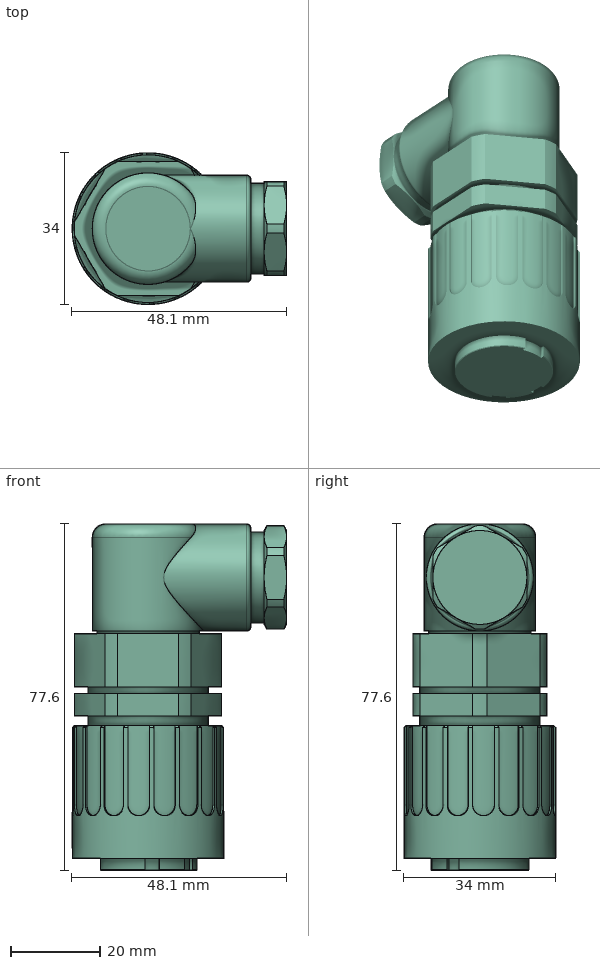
import cadquery as cq
import math

TIP_Z = 0.0
RING_BOTTOM_Z = 2.7
RING_TOP_Z = 32.4
LOCKNUT_BOTTOM_Z = 34.6
LOCKNUT_TOP_Z = 39.65
BODY_HEX_BOTTOM_Z = 41.1
BODY_HEX_TOP_Z = 53.0
ELBOW_TOP_Z = 77.6

INSERT_DIAMETER = 22.0
INSERT_TIP_CHAMFER = 0.15
KEYWAY_FLOOR_DIAMETER = 20.4
COLLAR_DIAMETER = 27.0
HEX_ACROSS_FLATS = 30.0
HEX_CORNER_DIAMETER = 33.0
NECK_DIAMETER = 23.0
ELBOW_DIAMETER = 25.0
ELBOW_TOP_FILLET = 3.0

KEYWAYS = [(180.0, 5.3), (275.0, 3.2), (326.3, 3.2)]

ARM_DIAMETER = 24.0
ARM_END_X = 23.05
ARM_END_FILLET = 1.0
GLAND_NECK_DIAMETER = 20.4
GLAND_NUT_START_X = 26.0
GLAND_NUT_END_X = 31.05
GLAND_ACROSS_FLATS = 21.0
GLAND_CORNER_DIAMETER = 23.2
GLAND_FACE_DIAMETER = GLAND_ACROSS_FLATS
GLAND_CHAMFER_LENGTH = 0.6
ARM_AXIS_Z = ELBOW_TOP_Z - ARM_DIAMETER / 2
ELBOW_BOTTOM_Z = ELBOW_TOP_Z - ARM_DIAMETER

RING_DIAMETER = 34.0
RING_RECESS_DIAMETER = 30.2
RING_RECESS_DEPTH = 3.0
RING_TOP_CHAMFER = 0.5
FLUTE_COUNT = 18
FLUTE_WIDTH = 4.9
FLUTE_DEPTH = 0.5
FLUTE_BOTTOM_Z = 12.25
FLUTE_START_ANGLE = 2.8


def cylinder(diameter, bottom_z, top_z):
    """Solid cylinder on the Z axis between two heights."""
    return cq.Workplane("XY").workplane(offset=bottom_z).circle(diameter / 2).extrude(top_z - bottom_z)


def rounded_hexagon(across_flats, corner_diameter, length):
    """Hexagonal prism rising from Z = 0, corners on the X axis, trimmed by a coaxial cylinder."""
    hexagon = cq.Workplane("XY").polygon(6, across_flats / math.cos(math.pi / 6)).extrude(length)
    return hexagon.intersect(cylinder(corner_diameter, 0, length))


def along_arm(shape, start_x):
    """Turn a shape built upward from Z = 0 so that it runs along +X on the arm axis."""
    return shape.rotate((0, 0, 0), (0, 1, 0), 90).translate((start_x, 0, ARM_AXIS_Z))


def make_gland_nut():
    """Rounded hexagon with conical chamfers on both faces."""
    length = GLAND_NUT_END_X - GLAND_NUT_START_X
    corner_radius = GLAND_CORNER_DIAMETER / 2
    face_radius = GLAND_FACE_DIAMETER / 2
    chamfered_envelope = (
        cq.Workplane("XZ")
        .moveTo(0, 0)
        .lineTo(face_radius, 0)
        .lineTo(corner_radius, GLAND_CHAMFER_LENGTH)
        .lineTo(corner_radius, length - GLAND_CHAMFER_LENGTH)
        .lineTo(face_radius, length)
        .lineTo(0, length)
        .close()
        .revolve(360, (0, 0, 0), (0, 1, 0))
    )
    nut = rounded_hexagon(GLAND_ACROSS_FLATS, GLAND_CORNER_DIAMETER, length)
    return along_arm(nut.intersect(chamfered_envelope), GLAND_NUT_START_X)


def make_arm():
    """Horizontal cylinder with a rounded end rim, a narrower gland neck and the gland nut."""
    tube = cylinder(ARM_DIAMETER, 0, ARM_END_X).faces(">Z").edges().fillet(ARM_END_FILLET)
    gland_neck = cylinder(GLAND_NECK_DIAMETER, 0, GLAND_NUT_START_X)
    return along_arm(tube.union(gland_neck), 0).union(make_gland_nut())


def make_insert():
    """Cylindrical plug at the bottom with keyways down its side."""
    insert = cylinder(INSERT_DIAMETER, TIP_Z, RING_BOTTOM_Z).faces("<Z").edges().chamfer(INSERT_TIP_CHAMFER)
    height = RING_BOTTOM_Z - TIP_Z
    for angle, width in KEYWAYS:
        keyway = (
            cq.Workplane("XY")
            .workplane(offset=TIP_Z)
            .rect(INSERT_DIAMETER, width)
            .extrude(height)
            .translate((INSERT_DIAMETER / 2, 0, 0))
            .rotate((0, 0, 0), (0, 0, 1), angle)
            .cut(cylinder(KEYWAY_FLOOR_DIAMETER, TIP_Z, RING_BOTTOM_Z))
        )
        insert = insert.cut(keyway)
    return insert


def make_connector():
    """Elbow, arm, hexagons, collar and insert as one solid."""
    elbow = cylinder(ELBOW_DIAMETER, ELBOW_BOTTOM_Z, ELBOW_TOP_Z).faces(">Z").edges().fillet(ELBOW_TOP_FILLET)
    connector = elbow.union(make_arm())
    connector = connector.union(cylinder(NECK_DIAMETER, BODY_HEX_TOP_Z, ELBOW_BOTTOM_Z))
    for bottom_z, top_z in [(BODY_HEX_BOTTOM_Z, BODY_HEX_TOP_Z), (LOCKNUT_BOTTOM_Z, LOCKNUT_TOP_Z)]:
        hexagon = rounded_hexagon(HEX_ACROSS_FLATS, HEX_CORNER_DIAMETER, top_z - bottom_z)
        connector = connector.union(hexagon.translate((0, 0, bottom_z)))
    connector = connector.union(cylinder(COLLAR_DIAMETER, RING_BOTTOM_Z, BODY_HEX_BOTTOM_Z))
    return connector.union(make_insert())


def make_flute():
    """Shallow round-ended groove on the +X side, open at the top of the ring."""
    end_radius = FLUTE_WIDTH / 2
    arc_z = FLUTE_BOTTOM_Z + end_radius
    outline = (
        cq.Workplane("YZ")
        .moveTo(-end_radius, RING_TOP_Z)
        .lineTo(-end_radius, arc_z)
        .threePointArc((0, FLUTE_BOTTOM_Z), (end_radius, arc_z))
        .lineTo(end_radius, RING_TOP_Z)
        .close()
        .extrude(RING_DIAMETER)
    )
    return outline.cut(cylinder(RING_DIAMETER - 2 * FLUTE_DEPTH, RING_BOTTOM_Z, RING_TOP_Z))


def make_coupling_ring():
    """Fluted ring bored to fit the collar, with a wider recess at its top."""
    ring = cylinder(RING_DIAMETER, RING_BOTTOM_Z, RING_TOP_Z).faces(">Z").edges().chamfer(RING_TOP_CHAMFER)
    ring = ring.cut(cylinder(COLLAR_DIAMETER, RING_BOTTOM_Z, RING_TOP_Z))
    ring = ring.cut(cylinder(RING_RECESS_DIAMETER, RING_TOP_Z - RING_RECESS_DEPTH, RING_TOP_Z))
    flute = make_flute()
    for index in range(FLUTE_COUNT):
        angle = FLUTE_START_ANGLE + index * 360 / FLUTE_COUNT
        ring = ring.cut(flute.rotate((0, 0, 0), (0, 0, 1), angle))
    return ring


connector = make_connector()
coupling_ring = make_coupling_ring()
result = cq.Compound.makeCompound([connector.val(), coupling_ring.val()])